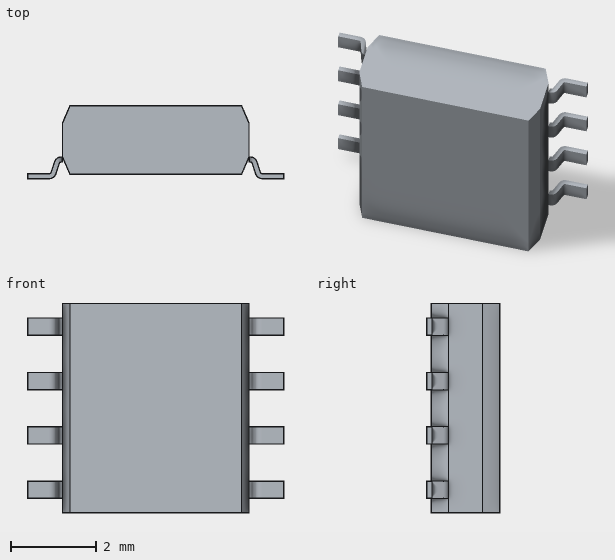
import cadquery as cq
import math

OVERALL_WIDTH = 6.0
OVERALL_DEPTH = 1.71

HOUSING_WIDTH = 4.37
HOUSING_DEPTH = 1.61
HOUSING_HEIGHT = 4.9
BEVEL_WIDTH = 0.175
BEVEL_DEPTH = 0.41

LEADS_PER_SIDE = 4
LEAD_PITCH = 1.27
LEAD_WIDTH = 0.41
LEAD_THICKNESS = 0.12
FOOT_LENGTH = 0.51
SHOULDER_LENGTH = 0.03
INNER_BEND_RADIUS = 0.04

BACK_Y = OVERALL_DEPTH / 2
FOOT_Y = -OVERALL_DEPTH / 2
FRONT_Y = BACK_Y - HOUSING_DEPTH
SIDE_X = HOUSING_WIDTH / 2
TIP_X = OVERALL_WIDTH / 2
SHOULDER_Y = FRONT_Y + BEVEL_DEPTH
OUTER_BEND_RADIUS = INNER_BEND_RADIUS + LEAD_THICKNESS

SHOULDER_CENTRE = (SIDE_X + SHOULDER_LENGTH, SHOULDER_Y - OUTER_BEND_RADIUS)
HEEL_CENTRE = (TIP_X - FOOT_LENGTH, FOOT_Y + OUTER_BEND_RADIUS)
CENTRE_RUN = HEEL_CENTRE[0] - SHOULDER_CENTRE[0]
CENTRE_DROP = SHOULDER_CENTRE[1] - HEEL_CENTRE[1]
LEG_ANGLE = math.atan2(CENTRE_DROP, CENTRE_RUN) + math.asin(
    (INNER_BEND_RADIUS + OUTER_BEND_RADIUS) / math.hypot(CENTRE_RUN, CENTRE_DROP)
)


def make_housing():
    """Eight-sided section in X-Y, extruded along Z."""
    bevel_x = SIDE_X - BEVEL_WIDTH
    section = [
        (-bevel_x, FRONT_Y),
        (bevel_x, FRONT_Y),
        (SIDE_X, FRONT_Y + BEVEL_DEPTH),
        (SIDE_X, BACK_Y - BEVEL_DEPTH),
        (bevel_x, BACK_Y),
        (-bevel_x, BACK_Y),
        (-SIDE_X, BACK_Y - BEVEL_DEPTH),
        (-SIDE_X, FRONT_Y + BEVEL_DEPTH),
    ]
    return cq.Workplane("XY").polyline(section).close().extrude(HOUSING_HEIGHT / 2, both=True)


def on_shoulder(radius, turn):
    """Point on the shoulder bend, turned from its highest point towards the leg."""
    centre_x, centre_y = SHOULDER_CENTRE
    return (centre_x + radius * math.sin(turn), centre_y + radius * math.cos(turn))


def on_heel(radius, turn):
    """Point on the heel bend, turned from its lowest point towards the leg."""
    centre_x, centre_y = HEEL_CENTRE
    return (centre_x - radius * math.sin(turn), centre_y - radius * math.cos(turn))


def make_right_lead():
    """Gull-wing lead on the +X side, centred on Z = 0."""
    half_turn = LEG_ANGLE / 2
    outline = (
        cq.Workplane("XY")
        .moveTo(SIDE_X, SHOULDER_Y)
        .lineTo(*on_shoulder(OUTER_BEND_RADIUS, 0))
        .threePointArc(on_shoulder(OUTER_BEND_RADIUS, half_turn), on_shoulder(OUTER_BEND_RADIUS, LEG_ANGLE))
        .lineTo(*on_heel(INNER_BEND_RADIUS, LEG_ANGLE))
        .threePointArc(on_heel(INNER_BEND_RADIUS, half_turn), on_heel(INNER_BEND_RADIUS, 0))
        .lineTo(TIP_X, FOOT_Y + LEAD_THICKNESS)
        .lineTo(TIP_X, FOOT_Y)
        .lineTo(*on_heel(OUTER_BEND_RADIUS, 0))
        .threePointArc(on_heel(OUTER_BEND_RADIUS, half_turn), on_heel(OUTER_BEND_RADIUS, LEG_ANGLE))
        .lineTo(*on_shoulder(INNER_BEND_RADIUS, LEG_ANGLE))
        .threePointArc(on_shoulder(INNER_BEND_RADIUS, half_turn), on_shoulder(INNER_BEND_RADIUS, 0))
        .lineTo(SIDE_X, SHOULDER_Y - LEAD_THICKNESS)
        .close()
    )
    return outline.extrude(LEAD_WIDTH / 2, both=True)


def make_leads():
    """Evenly spaced row of leads on each X side, one solid per lead."""
    right_lead = make_right_lead()
    left_lead = right_lead.mirror("YZ")
    lowest_z = -LEAD_PITCH * (LEADS_PER_SIDE - 1) / 2
    leads = []
    for lead in (left_lead, right_lead):
        for row in range(LEADS_PER_SIDE):
            row_z = lowest_z + row * LEAD_PITCH
            leads.append(lead.translate((0, 0, row_z)).val())
    return leads


housing = make_housing()
leads = make_leads()
result = cq.Compound.makeCompound([housing.val(), *leads])